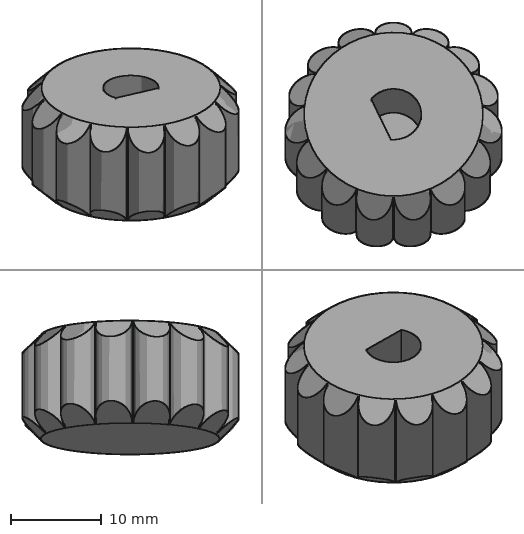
import cadquery as cq
import math

height = 11.5
width_x = 23.9
lobe_count = 15
lobe_radius = 2.0
widest_lobe_angle = 2 * math.pi / lobe_count / 4
lobe_pitch_radius = (width_x / 2 - lobe_radius) / math.cos(widest_lobe_angle)
core_radius = lobe_pitch_radius
outer_radius = lobe_pitch_radius + lobe_radius
chamfer = 2.15

hole_radius = 3.05
hole_flat_x = 1.5
hole_floor_z = 5.0


def make_grip():
    """Round core ringed by lobes, the first lobe pointing along -Y."""
    grip = cq.Workplane("XY").circle(core_radius).extrude(height)
    for index in range(lobe_count):
        angle = 2 * math.pi * index / lobe_count - math.pi / 2
        x = lobe_pitch_radius * math.cos(angle)
        y = lobe_pitch_radius * math.sin(angle)
        lobe = cq.Workplane("XY").center(x, y).circle(lobe_radius).extrude(height)
        grip = grip.union(lobe)
    return grip


def make_bevel_envelope():
    """Solid of revolution that bevels both ends of the lobes."""
    return cq.Workplane("XY").circle(outer_radius).extrude(height).edges().chamfer(chamfer)


def make_shaft_hole():
    """D-shaped cutter with its flat on the +X side."""
    half_flat = math.sqrt(hole_radius**2 - hole_flat_x**2)
    return (
        cq.Workplane("XY")
        .workplane(offset=hole_floor_z)
        .moveTo(hole_flat_x, half_flat)
        .threePointArc((-hole_radius, 0), (hole_flat_x, -half_flat))
        .close()
        .extrude(height - hole_floor_z)
    )


result = make_grip().intersect(make_bevel_envelope()).cut(make_shaft_hole())